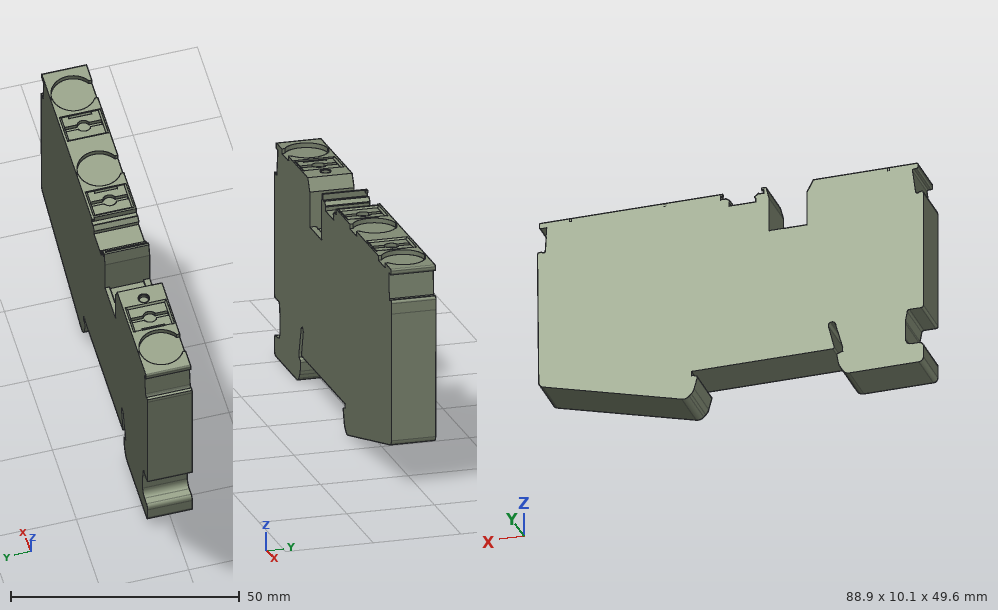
import cadquery as cq
import math

length = 88.9
thickness = 10.1
height = 49.6

lip_thickness = 1.3
hollow_floor = height - 7.2
hollow_dip = height - 7.6
edge_round = 0.4
left_lip_end = 1.25
right_lip_end = 88.45
hollow_dip_round = 0.3

notch_left = 26.85
notch_right = 35.6
notch_floor = height - 10.9
notch_bevel_foot = height - 2.85
notch_recess_depth = 0.6
notch_recess_front = 1.4
notch_recess_back = 9.1

track_left = 38.7
track_right = 44.8
track_floor = height - 3.2
track_ledge = height - lip_thickness
track_crest = height - 1.2
track_rib = height - 2.0
track_rib_foot = height - 2.3
track_rib_reach = 0.3
track_wall_left = 36.8
track_wall_right = 46.8
track_lip_reach = 0.5
track_lip_height = 0.45

body_bottom = 13.4
body_round = 0.5
foot_top = 4.8
foot_neck_x = 4.2
slot_end_round = 0.7
slot_left_x = 18.6
rail_seat = 6.7
rail_seat_end = 53.4
hook_tip = 5.25
hook_root = 5.7
end_slope = math.radians(15)
right_wall_bottom_x = 88.6
right_wall_bottom_z = 9.0
toe_x = 54.7
toe_round = 1.8
hook_bend = 2.7

well_diameter = 9.8
well_depth = 1.1
well_centre_y = 4.9
well_window_width = 5.0
well_centres = (8.1, 59.65, 81.3)
well_nick_width = 0.45
well_nick_depth = 0.6
well_nick_back = 9.9

pocket_length = 6.9
pocket_front = 0.4
pocket_back = 9.6
pocket_bevel = 0.45
pocket_depth = 0.4
pockets = ((13.8, 1), (54.1, -1), (75.65, -1))

keyhole_offset = 3.4
keyhole_diameter = 3.0
keyhole_slot = 1.25
keyhole_depth = 1.25
wedge_width = 0.6
wedge_length = 5.2
wedge_depth = 0.6

test_hole_x = 22.2
test_hole_diameter = 2.1
test_hole_rim = 0.2
test_hole_depth = 0.9

pocket_centre_y = (pocket_front + pocket_back) / 2


def rounded_outline(corners):
    """Closed XZ outline through (x, z, radius) corners; radius 0 stays sharp."""
    path = []
    for i, (x, z, radius) in enumerate(corners):
        before = cq.Vector(*corners[i - 1][:2])
        after = cq.Vector(*corners[(i + 1) % len(corners)][:2])
        corner = cq.Vector(x, z)
        if radius == 0:
            path.append((corner, corner, corner))
            continue
        to_before = (before - corner).normalized()
        to_after = (after - corner).normalized()
        half_angle = to_before.getAngle(to_after) / 2
        setback = radius / math.tan(half_angle)
        middle_gap = radius / math.sin(half_angle) - radius
        bisector = (to_before + to_after).normalized()
        path.append((corner + to_before * setback, corner + bisector * middle_gap, corner + to_after * setback))

    first_end = path[0][2]
    outline = cq.Workplane("XZ").moveTo(first_end.x, first_end.y)
    for start, middle, end in path[1:] + path[:1]:
        outline = outline.lineTo(start.x, start.y)
        if (end - start).Length > 0:
            outline = outline.threePointArc((middle.x, middle.y), (end.x, end.y))
    return outline.close()


def box(x_min, x_max, y_min, y_max, z_min, z_max):
    """Box between the given limits."""
    size = (x_max - x_min, y_max - y_min, z_max - z_min)
    return cq.Workplane("XY").box(*size, centered=False).translate((x_min, y_min, z_min))


def housing():
    """Side outline extruded through the full thickness."""
    left_lip = [
        (0, hollow_floor - 0.6, 0),
        (0.2, hollow_floor, 0),
        (0.9, hollow_floor, 0),
        (1.3, hollow_dip, hollow_dip_round),
        (1.8, hollow_floor, hollow_dip_round),
        (2.6, height - lip_thickness, edge_round),
        (left_lip_end, height - lip_thickness, edge_round),
        (left_lip_end, height, edge_round),
    ]
    notch = [
        (25.3, height, 0),
        (notch_left, notch_bevel_foot, 0),
        (notch_left, notch_floor, 0),
        (notch_right, notch_floor, 0),
        (notch_right, notch_bevel_foot, 0),
        (36.3, height, 0),
    ]
    track = [
        (track_wall_left, height, 0),
        (track_wall_left, track_ledge, 0),
        (37.7, track_ledge, 0),
        (38.0, track_crest, 0),
        (track_left + track_rib_reach, track_rib, 0),
        (track_left, track_rib_foot, 0),
        (track_left, track_floor, 0),
        (track_right, track_floor, 0),
        (track_right, track_rib_foot, 0),
        (track_right - track_rib_reach, track_rib, 0),
        (45.5, track_crest, 0),
        (45.8, track_ledge, 0),
        (track_wall_right, track_ledge, 0),
        (track_wall_right, height, 0),
    ]
    right_lip = [
        (right_lip_end, height, edge_round),
        (right_lip_end, height - lip_thickness, edge_round),
        (86.8, height - lip_thickness, 0),
        (87.1, hollow_floor, 0),
        (87.5, hollow_dip, hollow_dip_round),
        (87.9, hollow_floor, 0),
        (length, hollow_floor, body_round),
        (length, hollow_floor - 2.9, 0),
    ]
    toe_drop = (right_wall_bottom_x - toe_x) * math.tan(end_slope)
    right_foot = [
        (right_wall_bottom_x, right_wall_bottom_z, 1.3),
        (toe_x, right_wall_bottom_z - toe_drop, toe_round),
        (53.0, 1.6, hook_bend),
        (52.0, hook_tip, edge_round),
        (rail_seat_end, hook_root, 0),
        (rail_seat_end, rail_seat, 0),
    ]
    spring_slot = [
        (20.45, rail_seat, edge_round),
        (22.05, 13.2, slot_end_round),
        (20.5, 13.6, slot_end_round),
        (slot_left_x, rail_seat, 0),
        (slot_left_x, hook_root, 0),
    ]
    left_foot = [
        (20.0, hook_tip, edge_round),
        (19.5, 2.3, hook_bend),
        (18.05, 0, toe_round),
        (0, 0, 1.1),
        (0, foot_top, 1.0),
        (foot_neck_x, foot_top, 1.6),
        (foot_neck_x, 10.5, 2.9),
        (3.65, body_bottom, body_round),
        (0, body_bottom, body_round),
    ]
    corners = left_lip + notch + track + right_lip + right_foot + spring_slot + left_foot
    return rounded_outline(corners).extrude(-thickness)


def track_lips():
    """Small snap lips over the track, only along the back edge."""
    left = box(track_wall_left, track_wall_left + track_lip_reach,
               pocket_back, thickness, height - track_lip_height, height)
    right = box(track_wall_right - track_lip_reach, track_wall_right,
                pocket_back, thickness, height - track_lip_height, height)
    return left.union(right)


def notch_recess():
    """Sunken middle of the notch floor."""
    return box(notch_left, notch_right, notch_recess_front, notch_recess_back,
               notch_floor - notch_recess_depth, notch_floor)


def well(x):
    """Round well with a window through the front face and a nick in its back wall."""
    floor = height - well_depth
    disc = cq.Workplane("XY", origin=(x, well_centre_y, floor)).circle(well_diameter / 2).extrude(well_depth)
    half_window = well_window_width / 2
    window = box(x - half_window, x + half_window, 0, well_centre_y, floor, height)
    half_nick = well_nick_width / 2
    nick = box(x - half_nick, x + half_nick, well_centre_y, well_nick_back, height - well_nick_depth, height)
    return disc.union(window).union(nick)


def pocket():
    """Pocket cutter with its upright wall at X = 0, running toward +X below Z = 0."""
    outer_width = pocket_back - pocket_front
    recess = (
        cq.Workplane("XY", origin=(0, pocket_centre_y, -pocket_depth))
        .center((pocket_length - pocket_bevel) / 2, 0)
        .rect(pocket_length - pocket_bevel, outer_width - 2 * pocket_bevel)
        .workplane(offset=pocket_depth)
        .center(pocket_bevel / 2, 0)
        .rect(pocket_length, outer_width)
        .loft(ruled=True)
    )
    slot = box(keyhole_offset - keyhole_slot / 2, keyhole_offset + keyhole_slot / 2,
               pocket_front + pocket_bevel, pocket_back - pocket_bevel, -keyhole_depth, 0)
    eye = (
        cq.Workplane("XY", origin=(keyhole_offset, pocket_centre_y, -keyhole_depth))
        .circle(keyhole_diameter / 2)
        .extrude(keyhole_depth)
    )
    wedge = (
        cq.Workplane("XZ", origin=(0, pocket_centre_y, -pocket_depth))
        .polyline([(0, 0), (wedge_width, 0), (wedge_width, -wedge_depth)])
        .close()
        .extrude(wedge_length / 2, both=True)
    )
    return recess.union(slot).union(eye).union(wedge)


def test_hole():
    """Blind round hole with a bevelled rim."""
    radius = test_hole_diameter / 2
    mouth = cq.Workplane("XY", origin=(test_hole_x, pocket_centre_y, height))
    hole = mouth.circle(radius).extrude(-test_hole_depth)
    rim = mouth.circle(radius + test_hole_rim).extrude(-test_hole_rim, taper=45)
    return hole.union(rim)


result = housing().union(track_lips()).cut(notch_recess())

for well_x in well_centres:
    result = result.cut(well(well_x))

for wall_x, direction in pockets:
    cutter = pocket() if direction > 0 else pocket().mirror("YZ")
    result = result.cut(cutter.translate((wall_x, 0, height)))

result = result.cut(test_hole())